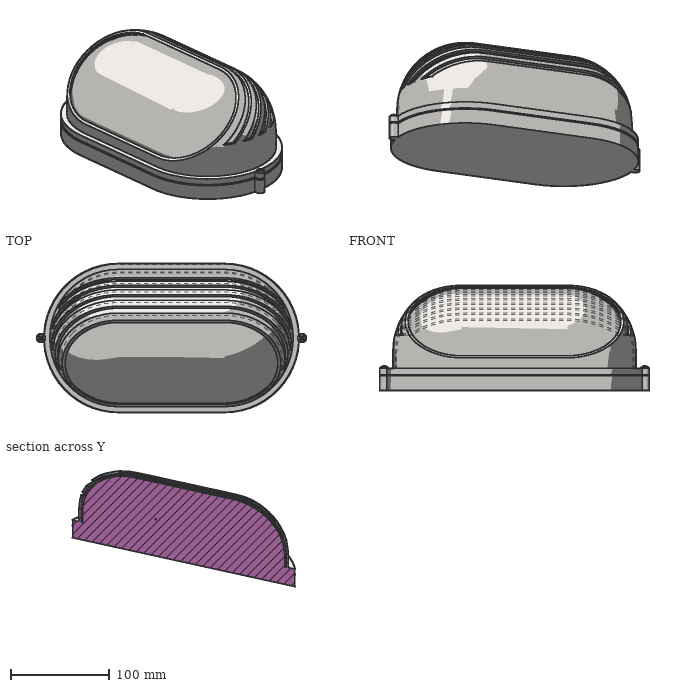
import cadquery as cq

overall_length = 275.0
straight_length = 108.4

flange_width = 152.0
flange_height = 22.8
seam_height = 15.0
seam_width = 1.0
seam_depth = 0.5

guard_width = 140.0
guard_wall = 2.5
guard_spring_height = 40.0

glass_width = 132.8
glass_spring_height = 38.2

slope_angle = 40.0
window_front_height = 33.5
slot_count = 4
slot_pitch = 13.5
slot_width = 7.0
slot_floor_height = 56.5

boss_width = 9.0
head_width = 8.5
head_height = 2.5
cross_length = 5.2
cross_width = 1.5
cross_depth = 1.5
cross_angles = (45, 135)

cutter_size = 2 * overall_length
flange_radius = flange_width / 2
guard_radius = guard_width / 2
glass_radius = glass_width / 2
boss_radius = boss_width / 2
head_radius = head_width / 2
boss_offset = overall_length / 2 - boss_radius


def oval_prism(radius, bottom, top):
    """Upright prism with straight sides and semicircular ends."""
    length = straight_length + 2 * radius
    return cq.Workplane("XY", origin=(0, 0, bottom)).slot2D(length, 2 * radius).extrude(top - bottom)


def level_slab(bottom, thickness):
    """Level slab wider than the whole part."""
    return cq.Workplane("XY", origin=(0, 0, bottom)).box(
        cutter_size, cutter_size, thickness, centered=(True, True, False)
    )


def space_above(height):
    return level_slab(height, cutter_size)


def domed_body(radius, spring_height):
    """Upright oval wall from the flange, capped by a barrel vault with ball ends."""
    body = oval_prism(radius, flange_height, spring_height)
    vault = (
        cq.Workplane("YZ", origin=(-straight_length / 2, 0, spring_height))
        .circle(radius)
        .extrude(straight_length)
    )
    dome = vault
    for side in (-1, 1):
        ball = cq.Workplane("XY", origin=(side * straight_length / 2, 0, spring_height)).sphere(radius)
        dome = dome.union(ball)
    return body.union(dome.intersect(space_above(spring_height)))


def sloping_slab(near_depth, thickness):
    """Wide slab parallel to the sloping face, starting near_depth behind it."""
    slab = level_slab(-near_depth - thickness, thickness).rotate((0, 0, 0), (1, 0, 0), slope_angle)
    return slab.translate((0, -guard_radius, window_front_height))


def base_layer(bottom, top, inset=0.0):
    """Slice of the base outline, with its two end bosses, shrunk inwards by inset."""
    layer = oval_prism(flange_radius - inset, bottom, top)
    bosses = (
        cq.Workplane("XY", origin=(0, 0, bottom))
        .slot2D(overall_length - 2 * inset, 2 * (boss_radius - inset))
        .extrude(top - bottom)
    )
    return layer.union(bosses)


def base():
    """Flange and bosses with the narrow seam groove running all round."""
    seam_top = seam_height + seam_width
    lower = base_layer(0, seam_height)
    neck = base_layer(seam_height, seam_top, seam_depth)
    upper = base_layer(seam_top, flange_height)
    return lower.union(neck).union(upper)


def guard():
    """Thin domed shell with a sloping window and parallel slots behind it."""
    shell = domed_body(guard_radius, guard_spring_height)
    shell = shell.cut(domed_body(guard_radius - guard_wall, guard_spring_height))
    shell = shell.cut(sloping_slab(-cutter_size, cutter_size))
    above_slot_floor = space_above(slot_floor_height)
    for index in range(1, slot_count + 1):
        slot = sloping_slab(index * slot_pitch - slot_width, slot_width)
        shell = shell.cut(slot.intersect(above_slot_floor))
    return shell


def screw_head(x):
    """Low spherical cap with a diagonal cross recess."""
    cap_radius = (head_radius**2 + head_height**2) / (2 * head_height)
    top = flange_height + head_height
    head = cq.Workplane("XY", origin=(x, 0, flange_height)).circle(head_radius).extrude(head_height)
    head = head.intersect(cq.Workplane("XY", origin=(x, 0, top - cap_radius)).sphere(cap_radius))
    cross = cq.Workplane("XY", origin=(x, 0, top - cross_depth))
    for angle in cross_angles:
        arm = cross.transformed(rotate=(0, 0, angle)).rect(cross_length, cross_width)
        head = head.cut(arm.extrude(cross_depth))
    return head


result = base().union(domed_body(glass_radius, glass_spring_height)).union(guard())
for side in (-1, 1):
    result = result.union(screw_head(side * boss_offset))